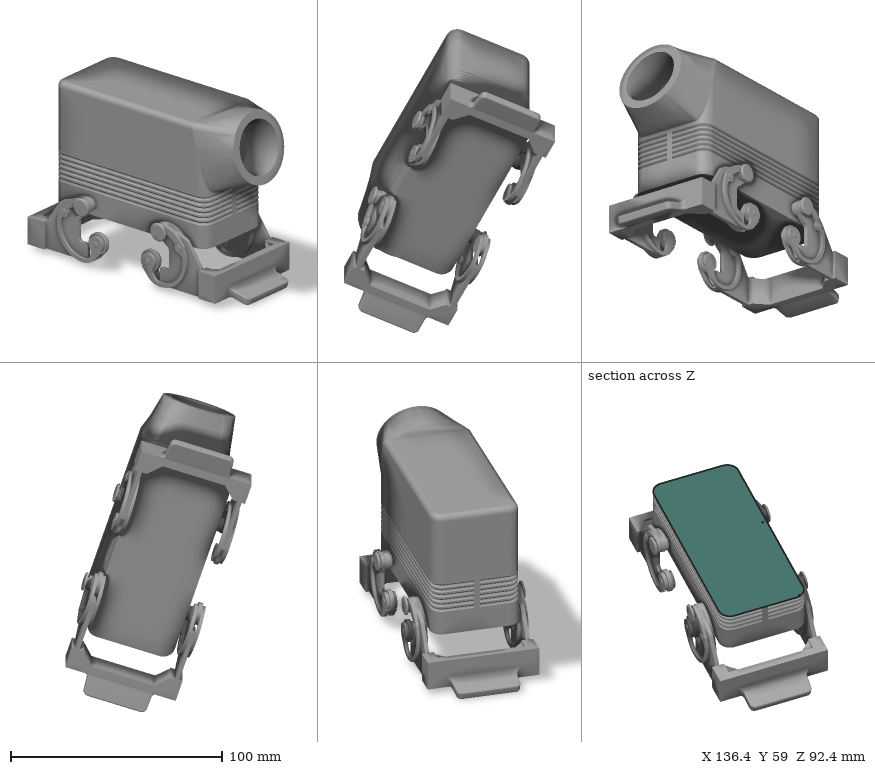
import cadquery as cq
import math

HOOD_LENGTH = 93.4
HOOD_WIDTH = 43.2
HOOD_HEIGHT = 62.8
HOOD_CORNER_RADIUS = 5.8
HOOD_TOP_RADIUS = 2.9

GROOVE_COUNT = 6
GROOVE_PITCH = 2.55
GROOVE_WIDTH = 1.7
GROOVE_DEPTH = 0.85
LOWEST_GROOVE_Z = 12.9
GROOVE_BREAK = 2.9

OUTLET_TILT = 14.0
OUTLET_START_X = 38.1
OUTLET_LENGTH = 20.0
MOUTH_DIAMETER = 36.0
BORE_DIAMETER = 27.5
BORE_DEPTH = OUTLET_LENGTH
MOUTH_ANGLES = (45.0, 36.0, 13.0, -50.0)

FRAME_OUTER_X = -57.7
FRAME_INNER_X = -53.6
FRAME_ARM_END_X = -47.6
FRAME_WIDTH = 55.0
FRAME_GAP = 43.0
FRAME_TOP_Z = -8.2
FRAME_BOTTOM_Z = -22.35
GUSSET_DROP = 1.0

SIDE_MID_Y = 24.85
PLATE_THICKNESS = 2.0
SPRING_THICKNESS = FRAME_WIDTH - 2 * SIDE_MID_Y

PIVOT_X = -23.7
PIVOT_Z = 5.8
EYE_RADIUS = 3.5
PLATE_EYE_RADIUS = 3.8
PLATE_EYE_TANGENT_ANGLE = 112.0
PIN_RADIUS = 2.4
PIN_EMBED = 1.0
PIN_HEAD_RADIUS = 4.6
PIN_HEAD_THICKNESS = 1.0
PIN_HEAD_ROUND = 0.9
OVERALL_WIDTH = 59.0

ROLLER_X = -16.1
ROLLER_Z = -11.7
ROLLER_RADIUS = 5.4
ROLLER_CHEEK_RADIUS = 4.2

SPRING_CENTER_Z = -6.6
SPRING_OUTER_RADIUS = 16.0
SPRING_INNER_RADIUS = 14.0
SPRING_UPPER_INNER_RADIUS = 12.5
SPRING_TAIL_RADIUS = 10.0
SPRING_HEEL_RADIUS = 4.8
SPRING_HEEL_ANGLE = -40.0
HOOK_TOP = (-18.6, -16.2)
HOOK_MIDDLE = (-19.3, -18.3)
HOOK_BOTTOM_X = -22.7

RIVET_X = -35.4
RIVET_Z = 0.3
RIVET_BOSS_RADIUS = 2.7
WEB_START_ANGLE = -60.0
WEB_MIDDLE = (-36.5, -3.0)
WEB_END_ANGLE = 174.0
RIVET_RADIUS = 1.4
RIVET_CHAMFER = 0.2
RIVET_PROUD = 0.4

SLOT_X = -27.8
SLOT_FLOOR_Z = -13.6
SLOT_RADIUS = 2.0
PLATE_TIP_X = -22.3
SLOT_TOP_Z = -3.4
SLOT_CORNER_START = (-25.8, -1.0)
SLOT_CORNER_MIDDLE = (-27.3, -2.0)

PLATE_SHOULDER_START = (-39.8, 3.1)
PLATE_SHOULDER_MIDDLE = (-38.4, 4.5)
PLATE_SHOULDER_END = (-36.4, 5.3)

SELECT_MARGIN = 0.1

TAB_TILT = 15.0
TAB_LENGTH = 10.0
TAB_THICKNESS = 3.9
TAB_ROOT_WIDTH = 32.6
TAB_TIP_WIDTH = 31.0
TAB_CORNER_RADIUS = 2.5
TAB_EDGE_RADIUS = 0.7
TAB_ROOT_FILLET = 2.2
TAB_EMBED = 2.0


def polar(center, radius, degrees):
    """Point on a circle, measured counter-clockwise from the first axis."""
    angle = math.radians(degrees)
    return (center[0] + radius * math.cos(angle), center[1] + radius * math.sin(angle))


def outlet_plane():
    """Tilted plane where the outlet begins, at the middle of the hood's width."""
    tilt = math.radians(OUTLET_TILT)
    return cq.Plane(
        origin=(OUTLET_START_X, 0, HOOD_HEIGHT),
        xDir=(0, 1, 0),
        normal=(math.cos(tilt), 0, math.sin(tilt)),
    )


def hood_block():
    """Solid hood body with rounded corners and a rounded top edge."""
    block = cq.Workplane("XY").box(HOOD_LENGTH, HOOD_WIDTH, HOOD_HEIGHT, centered=(True, True, False))
    return block.edges("|Z").fillet(HOOD_CORNER_RADIUS).faces(">Z").edges().fillet(HOOD_TOP_RADIUS)


def groove_ring(z):
    """V-shaped cutter running round the hood at height z."""
    half_width = GROOVE_WIDTH / 2
    profile = (
        cq.Workplane("XZ", origin=(HOOD_LENGTH / 2, 0, z))
        .moveTo(0, -half_width)
        .lineTo(-GROOVE_DEPTH, 0)
        .lineTo(0, half_width)
        .close()
    )
    path = (
        cq.Workplane("XY", origin=(0, 0, z))
        .rect(HOOD_LENGTH, HOOD_WIDTH)
        .extrude(1)
        .edges("|Z")
        .fillet(HOOD_CORNER_RADIUS)
        .faces("<Z")
        .wires()
    )
    return profile.sweep(path)


def add_grooves(hood):
    """Cut the stack of grip grooves, leaving a plain strip on each narrow end."""
    breaks = cq.Workplane("XY").box(
        2 * HOOD_LENGTH, GROOVE_BREAK, HOOD_HEIGHT, centered=(True, True, False)
    )
    for index in range(GROOVE_COUNT):
        ring = groove_ring(LOWEST_GROOVE_Z + index * GROOVE_PITCH)
        hood = hood.cut(ring.cut(breaks))
    return hood


def mouth_wire(plane, center_v):
    """Mouth circle split into arcs, one for each side of the hood section."""
    angles = list(MOUTH_ANGLES) + [180 - angle for angle in reversed(MOUTH_ANGLES)]
    radius = MOUTH_DIAMETER / 2
    center = (0, center_v)
    wire = cq.Workplane(plane).moveTo(*polar(center, radius, angles[0]))
    following = angles[1:] + angles[:1]
    for start, end in zip(angles, following):
        sweep = (start - end) % 360
        if sweep > 180:
            sweep -= 360
        wire = wire.threePointArc(
            polar(center, radius, start - sweep / 2), polar(center, radius, end)
        )
    return wire.wire().val()


def add_outlet(hood):
    """Trim the hood on a tilted plane and blend its section into the bored round mouth."""
    start = outlet_plane()
    reach = 2 * HOOD_HEIGHT
    beyond = cq.Workplane(start).rect(reach, reach).extrude(reach)
    trimmed = hood.cut(beyond)
    section = trimmed.faces(cq.selectors.DirectionMinMaxSelector(start.zDir, True)).val()
    end = cq.Plane(origin=start.toWorldCoords((0, 0, OUTLET_LENGTH)), xDir=start.xDir, normal=start.zDir)
    center_v = -MOUTH_DIAMETER / 2
    outlet = cq.Solid.makeLoft([section.outerWire(), mouth_wire(end, center_v)], False)
    bore = cq.Workplane(end).center(0, center_v).circle(BORE_DIAMETER / 2).extrude(-BORE_DEPTH)
    return trimmed.union(cq.Workplane(outlet)).cut(bore)


def side_layer(thickness):
    """Workplane whose extrusion of this thickness is centred in a -Y lever side."""
    return cq.Workplane("XZ", origin=(0, -SIDE_MID_Y + thickness / 2, 0))


def disc(x, z, radius, thickness):
    """Round disc centred in the thickness of a -Y lever side."""
    return side_layer(thickness).center(x, z).circle(radius).extrude(thickness)


def side_plate():
    """Thin plate from the frame arm up to the pivot, with the locking slot."""
    pivot = (PIVOT_X, PIVOT_Z)
    outline = (
        side_layer(PLATE_THICKNESS)
        .moveTo(FRAME_ARM_END_X, FRAME_BOTTOM_Z)
        .lineTo(FRAME_ARM_END_X, FRAME_TOP_Z)
        .lineTo(*PLATE_SHOULDER_START)
        .threePointArc(PLATE_SHOULDER_MIDDLE, PLATE_SHOULDER_END)
        .lineTo(*polar(pivot, PLATE_EYE_RADIUS, PLATE_EYE_TANGENT_ANGLE))
        .lineTo(*pivot)
        .lineTo(*polar(pivot, PLATE_EYE_RADIUS, -45))
        .lineTo(*SLOT_CORNER_START)
        .threePointArc(SLOT_CORNER_MIDDLE, (SLOT_X, SLOT_TOP_Z))
        .lineTo(SLOT_X, SLOT_FLOOR_Z)
        .lineTo(PLATE_TIP_X, SLOT_FLOOR_Z)
        .lineTo(PLATE_TIP_X, FRAME_BOTTOM_Z)
        .close()
        .extrude(PLATE_THICKNESS)
    )
    slot_corner = cq.selectors.NearestToPointSelector((SLOT_X, -SIDE_MID_Y, SLOT_FLOOR_Z))
    plate = outline.edges("|Y").edges(slot_corner).fillet(SLOT_RADIUS)
    return plate.union(disc(PIVOT_X, PIVOT_Z, PLATE_EYE_RADIUS, PLATE_THICKNESS))


def spring_band(inner_radius, start, end):
    """Part of a flat ring between two angles about the spring centre."""
    center = (PIVOT_X, SPRING_CENTER_Z)
    middle = (start + end) / 2
    return (
        side_layer(SPRING_THICKNESS)
        .moveTo(*polar(center, SPRING_OUTER_RADIUS, start))
        .threePointArc(
            polar(center, SPRING_OUTER_RADIUS, middle),
            polar(center, SPRING_OUTER_RADIUS, end),
        )
        .lineTo(*polar(center, inner_radius, end))
        .threePointArc(polar(center, inner_radius, middle), polar(center, inner_radius, start))
        .close()
        .extrude(SPRING_THICKNESS)
    )


def spring_tail():
    """Hook that carries the spring from its lowest point round to the roller."""
    bottom_z = SPRING_CENTER_Z - SPRING_OUTER_RADIUS
    inner_z = SPRING_CENTER_Z - SPRING_INNER_RADIUS
    tail_center = (PIVOT_X, bottom_z + SPRING_TAIL_RADIUS)
    roller = (ROLLER_X, ROLLER_Z)
    return (
        side_layer(SPRING_THICKNESS)
        .moveTo(PIVOT_X, bottom_z)
        .threePointArc(
            polar(tail_center, SPRING_TAIL_RADIUS, -67.5),
            polar(tail_center, SPRING_TAIL_RADIUS, -45),
        )
        .lineTo(*polar(roller, SPRING_HEEL_RADIUS, SPRING_HEEL_ANGLE))
        .lineTo(*polar(roller, ROLLER_CHEEK_RADIUS, 225))
        .lineTo(*HOOK_TOP)
        .threePointArc(HOOK_MIDDLE, (HOOK_BOTTOM_X, inner_z))
        .lineTo(PIVOT_X, inner_z)
        .close()
        .extrude(SPRING_THICKNESS)
    )


def boss_web():
    """Fills the corner between the rivet boss and the lower spring band."""
    center = (PIVOT_X, SPRING_CENTER_Z)
    mid_radius = (SPRING_INNER_RADIUS + SPRING_OUTER_RADIUS) / 2
    return (
        side_layer(SPRING_THICKNESS)
        .moveTo(RIVET_X, RIVET_Z)
        .lineTo(*polar((RIVET_X, RIVET_Z), RIVET_BOSS_RADIUS, WEB_START_ANGLE))
        .threePointArc(WEB_MIDDLE, polar(center, SPRING_INNER_RADIUS, WEB_END_ANGLE))
        .lineTo(*polar(center, mid_radius, WEB_END_ANGLE))
        .close()
        .extrude(SPRING_THICKNESS)
    )


def spring():
    """C-shaped spring in two equal leaves, one on each face of the side plate."""
    boss_angle = math.degrees(math.atan2(RIVET_Z - SPRING_CENTER_Z, RIVET_X - PIVOT_X))
    leaves = (
        spring_band(SPRING_UPPER_INNER_RADIUS, 90, boss_angle)
        .union(spring_band(SPRING_INNER_RADIUS, boss_angle, 270))
        .union(boss_web())
        .union(spring_tail())
        .union(disc(PIVOT_X, PIVOT_Z, EYE_RADIUS, SPRING_THICKNESS))
        .union(disc(RIVET_X, RIVET_Z, RIVET_BOSS_RADIUS, SPRING_THICKNESS))
        .union(disc(ROLLER_X, ROLLER_Z, ROLLER_CHEEK_RADIUS, SPRING_THICKNESS))
    )
    reach = 4 * SPRING_OUTER_RADIUS
    gap = side_layer(PLATE_THICKNESS).center(PIVOT_X, SPRING_CENTER_Z).rect(reach, reach)
    gap = gap.extrude(PLATE_THICKNESS)
    return leaves.cut(gap)


def rivet(x, z):
    """Pin through the lever side, standing proud of its outer face only."""
    length = SPRING_THICKNESS + RIVET_PROUD
    pin = cq.Workplane("XZ", origin=(x, -SIDE_MID_Y + SPRING_THICKNESS / 2, z)).circle(RIVET_RADIUS)
    return pin.extrude(length).faces("<Y").chamfer(RIVET_CHAMFER)


def pivot_pin():
    """Headed pin from inside the hood wall out through the lever eye."""
    half_width = OVERALL_WIDTH / 2
    shank_start = HOOD_WIDTH / 2 - PIN_EMBED
    shank = (
        cq.Workplane("XZ", origin=(PIVOT_X, -shank_start, PIVOT_Z))
        .circle(PIN_RADIUS)
        .extrude(half_width - shank_start)
    )
    head = (
        cq.Workplane("XZ", origin=(PIVOT_X, PIN_HEAD_THICKNESS - half_width, PIVOT_Z))
        .circle(PIN_HEAD_RADIUS)
        .extrude(PIN_HEAD_THICKNESS)
        .faces("<Y")
        .edges()
        .fillet(PIN_HEAD_ROUND)
    )
    return shank.union(head)


def lever_side():
    """Everything on the -Y side of one lever, including its pivot pin."""
    return (
        side_plate()
        .union(spring())
        .union(disc(ROLLER_X, ROLLER_Z, ROLLER_RADIUS, PLATE_THICKNESS))
        .union(rivet(RIVET_X, RIVET_Z))
        .union(rivet(ROLLER_X, ROLLER_Z))
        .union(pivot_pin())
    )


def lever_frame():
    """U-shaped bar joining the two side plates, with a gusset in each inner corner."""
    height = FRAME_TOP_Z - FRAME_BOTTOM_Z
    base = cq.Workplane("XY", origin=(0, 0, FRAME_BOTTOM_Z))
    half_width = FRAME_WIDTH / 2
    half_gap = FRAME_GAP / 2
    gusset = FRAME_ARM_END_X - FRAME_INNER_X
    frame = (
        base.moveTo(FRAME_OUTER_X, -half_width)
        .lineTo(FRAME_ARM_END_X, -half_width)
        .lineTo(FRAME_ARM_END_X, -half_gap)
        .lineTo(FRAME_INNER_X, -half_gap)
        .lineTo(FRAME_INNER_X, half_gap)
        .lineTo(FRAME_ARM_END_X, half_gap)
        .lineTo(FRAME_ARM_END_X, half_width)
        .lineTo(FRAME_OUTER_X, half_width)
        .close()
        .extrude(height)
    )
    for side in (-1, 1):
        corner = (
            base.moveTo(FRAME_INNER_X, side * half_gap)
            .lineTo(FRAME_ARM_END_X, side * half_gap)
            .lineTo(FRAME_INNER_X, side * (half_gap - gusset))
            .close()
            .extrude(height - GUSSET_DROP)
        )
        frame = frame.union(corner)
    return frame


def tab_plane():
    """Plane of the tab's underside: X points outward along the tab, Z out of its top."""
    tilt = math.radians(TAB_TILT)
    return cq.Plane(
        origin=(FRAME_OUTER_X, 0, FRAME_BOTTOM_Z),
        xDir=(-math.cos(tilt), 0, -math.sin(tilt)),
        normal=(-math.sin(tilt), 0, math.cos(tilt)),
    )


def finger_tab():
    """Tab sloping down and outward from the lower edge of the frame."""
    plane = tab_plane()
    tab = (
        cq.Workplane(plane)
        .moveTo(-TAB_EMBED, -TAB_ROOT_WIDTH / 2)
        .lineTo(TAB_LENGTH, -TAB_TIP_WIDTH / 2)
        .lineTo(TAB_LENGTH, TAB_TIP_WIDTH / 2)
        .lineTo(-TAB_EMBED, TAB_ROOT_WIDTH / 2)
        .close()
        .extrude(TAB_THICKNESS)
    )
    upright = cq.selectors.ParallelDirSelector(plane.zDir)
    return tab.edges(upright).edges("<X").fillet(TAB_CORNER_RADIUS)


def frame_with_tab():
    """Frame and tab joined by a root fillet, then the tab's free rim rounded."""
    frame = lever_frame().union(finger_tab())
    half_root = TAB_ROOT_WIDTH / 2 + SELECT_MARGIN
    root = cq.selectors.BoxSelector(
        (FRAME_OUTER_X - SELECT_MARGIN, -half_root, FRAME_BOTTOM_Z + SELECT_MARGIN),
        (FRAME_OUTER_X + SELECT_MARGIN, half_root, FRAME_TOP_Z - SELECT_MARGIN),
    )
    frame = frame.edges(root).fillet(TAB_ROOT_FILLET)
    free_edges = cq.selectors.BoxSelector(
        (FRAME_OUTER_X - 2 * TAB_LENGTH, -FRAME_WIDTH / 2, FRAME_BOTTOM_Z - TAB_LENGTH),
        (FRAME_OUTER_X - TAB_ROOT_FILLET - SELECT_MARGIN, FRAME_WIDTH / 2, FRAME_TOP_Z),
    )
    upright = cq.selectors.ParallelDirSelector(tab_plane().zDir)
    return frame.edges(free_edges - upright).fillet(TAB_EDGE_RADIUS)


def lever():
    """Complete lever at the -X end."""
    side = lever_side()
    return frame_with_tab().union(side).union(side.mirror("XZ"))


hood = add_outlet(add_grooves(hood_block()))
left_lever = lever()
right_lever = left_lever.mirror("YZ")
result = hood.union(left_lever).union(right_lever)